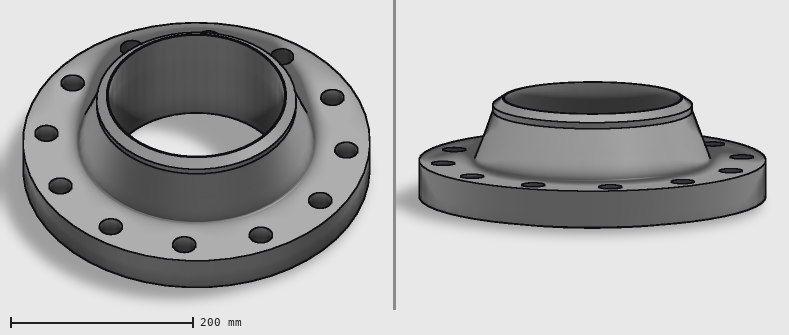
import cadquery as cq

total_height = 117.7
face_height = 8.0
plate_thickness = 40.5
weld_bevel_height = 7.5
pipe_band_height = 7.0

plate_diameter = 381
face_diameter = 301.5
hub_base_diameter = 259.8
pipe_diameter = 219.0
bore_diameter = 194.3

weld_root_face = 1.5

hub_root_fillet = 3.0

bolt_count = 12
bolt_circle_diameter = 330.2
bolt_hole_diameter = 25.0

plate_top = face_height + plate_thickness
bevel_start = total_height - weld_bevel_height
hub_top = bevel_start - pipe_band_height
bore_radius = bore_diameter / 2


def flange_body():
    """Revolve the half section of the flange about Z."""
    return (
        cq.Workplane("XZ")
        .moveTo(bore_radius, 0)
        .lineTo(face_diameter / 2, 0)
        .lineTo(face_diameter / 2, face_height)
        .lineTo(plate_diameter / 2, face_height)
        .lineTo(plate_diameter / 2, plate_top)
        .lineTo(hub_base_diameter / 2, plate_top)
        .lineTo(pipe_diameter / 2, hub_top)
        .lineTo(pipe_diameter / 2, bevel_start)
        .lineTo(bore_radius + weld_root_face, total_height)
        .lineTo(bore_radius, total_height)
        .close()
        .revolve(360, (0, 0, 0), (0, 1, 0))
    )


def bolt_holes():
    """Cylinders through the plate, the first one on the X axis."""
    return (
        cq.Workplane("XY")
        .polarArray(bolt_circle_diameter / 2, 0, 360, bolt_count)
        .circle(bolt_hole_diameter / 2)
        .extrude(plate_top)
    )


def round_hub_root(body):
    """Fillet the circle where the hub cone meets the top of the plate."""
    margin = 0.5
    reach = hub_base_diameter / 2 + margin
    root_zone = cq.selectors.BoxSelector(
        (-reach, -reach, plate_top - margin),
        (reach, reach, plate_top + margin),
        boundingbox=True,
    )
    return body.edges("%CIRCLE").edges(root_zone).fillet(hub_root_fillet)


result = round_hub_root(flange_body()).cut(bolt_holes())